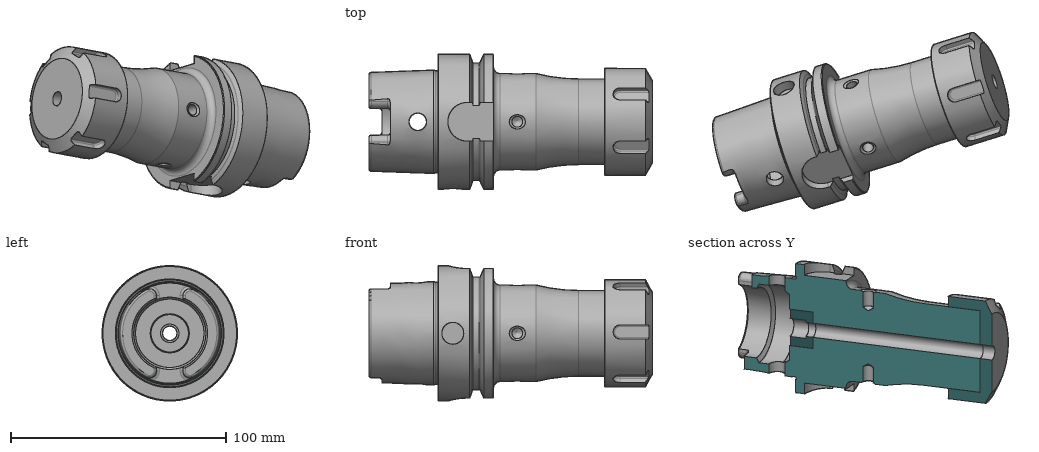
import cadquery as cq
import math


SHANK_LENGTH = 32.0
SHANK_END_RADIUS = 23.0
SHANK_ROOT_RADIUS = 24.1
SHANK_END_FILLET = 1.1
NECK_BEVEL_START_X = -1.9
NECK_START_X = -1.1
NECK_RADIUS = 23.85
NECK_FILLET_START_X = -0.3
FACE_RELIEF_DEPTH = 0.4
FACE_RELIEF_RADIUS = 25.3

BORE_RADIUS = 16.8
BORE_MOUTH_CHAMFER = 0.8
BORE_STRAIGHT_DEPTH = 12.4
UNDERCUT_RADIUS = 19.0
UNDERCUT_CONE_ANGLE = 60.0
UNDERCUT_END_DEPTH = 24.3
BORE_FLOOR_RADIUS = 15.9
BORE_DEPTH = 29.0

DRIVE_SLOT_WIDTH = 12.3
DRIVE_SLOT_TOP_DEPTH = 10.0
DRIVE_SLOT_BOTTOM_DEPTH = 6.0
DRIVE_SLOT_FLOOR_FILLET = 1.3
DRIVE_SLOT_FLARE_RADIUS = 3.2
DRIVE_SLOT_FLARE_START_Z = 17.5

CROSS_HOLE_RADIUS = 4.0
CROSS_HOLE_X = -9.3

FLANGE_RADIUS = 31.5
FLANGE_WIDTH = 26.0
FLANGE_EDGE_CHAMFER = 0.4
GROOVE_START_X = 14.82
GROOVE_STEP_X = 15.8
GROOVE_STEP_RADIUS = 29.2
GROOVE_FLOOR_START_X = 16.35
GROOVE_FLOOR_END_X = 19.5
GROOVE_END_X = 21.4
GROOVE_FLOOR_RADIUS = 27.4
GROOVE_FLOOR_FILLET = 0.5
KEY_SLOT_WIDTH = 18.0
KEY_SLOT_START_X = 4.7
KEY_SLOT_FLOOR_Z = 26.3
CHIP_HOLE_X = 7.0
CHIP_HOLE_RADIUS = 5.1
CHIP_HOLE_FLOOR_Y = 26.6

BODY_RADIUS = 22.5
BODY_FILLET = 3.0
BODY_END_X = 45.7
STEM_RADIUS = 20.0
STEM_START_X = 65.5
STEM_END_X = 94.0
BALANCE_HOLE_X = 37.0
BALANCE_HOLE_RADIUS = 2.5
BALANCE_HOLE_DEPTH = 8.0
BALANCE_SINK_RADIUS = 3.75
BALANCE_SINK_SLOPE = 30.0
DRILL_TIP_ANGLE = 118.0

NUT_START_X = 77.6
NUT_END_X = 99.9
NUT_RADIUS = 25.0
NUT_EDGE_CHAMFER = 0.3
NUT_CONE_START_X = 96.6
NUT_FACE_RADIUS = 19.0
NUT_SLOT_COUNT = 6
NUT_SLOT_WIDTH = 6.5
NUT_SLOT_START_X = 81.6
NUT_SLOT_FLOOR_RADIUS = 22.0
NUT_SLOT_FLOOR_FILLET = 0.65
NUT_SLOT_FIRST_ANGLE = 28.5

PLUG_RADIUS = 8.7
PLUG_SEAT_CHAMFER = 0.4
PLUG_LENGTH = 12.0
PLUG_BORE_RADIUS = 4.3
PLUG_BORE_DEPTH = 8.0
COOLANT_RADIUS = 3.3

BORE_FLOOR_X = BORE_DEPTH - SHANK_LENGTH
OVERSIZE = 1.0


def revolve_about_x(outline):
    return outline.close().revolve(360, (0, 0, 0), (1, 0, 0))


def cylinder_x(start_x, end_x, radius):
    return cq.Workplane("YZ").workplane(offset=start_x).circle(radius).extrude(end_x - start_x)


def turned_blank():
    """Outside of the holder: taper, neck, flange, body, concave blend and stem."""
    blend_run = STEM_START_X - BODY_END_X
    blend_drop = BODY_RADIUS - STEM_RADIUS
    blend_radius = (blend_run**2 + blend_drop**2) / (2 * blend_drop)
    half_run = blend_run / 2
    blend_mid_radius = STEM_RADIUS + blend_radius - math.sqrt(blend_radius**2 - half_run**2)
    neck_fillet = FACE_RELIEF_DEPTH - NECK_FILLET_START_X
    neck_fillet_dip = neck_fillet * (1 - math.sqrt(0.5))
    fillet_dip = BODY_FILLET * (1 - math.sqrt(0.5))
    outline = (
        cq.Workplane("XY")
        .moveTo(-SHANK_LENGTH, 0)
        .lineTo(-SHANK_LENGTH, SHANK_END_RADIUS)
        .lineTo(NECK_BEVEL_START_X, SHANK_ROOT_RADIUS)
        .lineTo(NECK_START_X, NECK_RADIUS)
        .lineTo(NECK_FILLET_START_X, NECK_RADIUS)
        .threePointArc(
            (FACE_RELIEF_DEPTH - neck_fillet_dip, NECK_RADIUS + neck_fillet_dip),
            (FACE_RELIEF_DEPTH, NECK_RADIUS + neck_fillet),
        )
        .lineTo(FACE_RELIEF_DEPTH, FACE_RELIEF_RADIUS - FACE_RELIEF_DEPTH)
        .lineTo(0, FACE_RELIEF_RADIUS)
        .lineTo(0, FLANGE_RADIUS - FLANGE_EDGE_CHAMFER)
        .lineTo(FLANGE_EDGE_CHAMFER, FLANGE_RADIUS)
        .lineTo(FLANGE_WIDTH - FLANGE_EDGE_CHAMFER, FLANGE_RADIUS)
        .lineTo(FLANGE_WIDTH, FLANGE_RADIUS - FLANGE_EDGE_CHAMFER)
        .lineTo(FLANGE_WIDTH, BODY_RADIUS + BODY_FILLET)
        .threePointArc(
            (FLANGE_WIDTH + fillet_dip, BODY_RADIUS + fillet_dip),
            (FLANGE_WIDTH + BODY_FILLET, BODY_RADIUS),
        )
        .lineTo(BODY_END_X, BODY_RADIUS)
        .threePointArc((BODY_END_X + half_run, blend_mid_radius), (STEM_START_X, STEM_RADIUS))
        .lineTo(STEM_END_X, STEM_RADIUS)
        .lineTo(STEM_END_X, 0)
    )
    return revolve_about_x(outline)


def gripper_groove():
    """Ring cut around the flange, with a step in its front wall and a filleted rear floor corner."""
    outline = (
        cq.Workplane("XY")
        .moveTo(GROOVE_START_X, FLANGE_RADIUS + OVERSIZE)
        .lineTo(GROOVE_START_X, FLANGE_RADIUS)
        .lineTo(GROOVE_STEP_X, GROOVE_STEP_RADIUS)
        .lineTo(GROOVE_FLOOR_START_X, GROOVE_FLOOR_RADIUS)
        .lineTo(GROOVE_FLOOR_END_X, GROOVE_FLOOR_RADIUS)
        .lineTo(GROOVE_END_X, FLANGE_RADIUS)
        .lineTo(GROOVE_END_X, FLANGE_RADIUS + OVERSIZE)
    )
    groove = revolve_about_x(outline)
    floor = groove.faces("%CYLINDER").faces(cq.selectors.AreaNthSelector(0))
    return floor.edges(">X").fillet(GROOVE_FLOOR_FILLET)


def shank_bore():
    """Bore with a clamping undercut behind its straight mouth, the plug seat and the coolant hole."""
    undercut_rise = UNDERCUT_RADIUS - BORE_RADIUS
    undercut_run = undercut_rise / math.tan(math.radians(UNDERCUT_CONE_ANGLE))
    undercut_start_x = BORE_STRAIGHT_DEPTH - SHANK_LENGTH
    undercut_end_x = UNDERCUT_END_DEPTH - SHANK_LENGTH
    outline = (
        cq.Workplane("XY")
        .moveTo(-SHANK_LENGTH, 0)
        .lineTo(-SHANK_LENGTH, BORE_RADIUS + BORE_MOUTH_CHAMFER)
        .lineTo(BORE_MOUTH_CHAMFER - SHANK_LENGTH, BORE_RADIUS)
        .lineTo(undercut_start_x, BORE_RADIUS)
        .lineTo(undercut_start_x + undercut_run, UNDERCUT_RADIUS)
        .lineTo(undercut_end_x, UNDERCUT_RADIUS)
        .lineTo(BORE_FLOOR_X, BORE_FLOOR_RADIUS)
        .lineTo(BORE_FLOOR_X, PLUG_RADIUS + PLUG_SEAT_CHAMFER)
        .lineTo(BORE_FLOOR_X + PLUG_SEAT_CHAMFER, PLUG_RADIUS)
        .lineTo(BORE_FLOOR_X + PLUG_LENGTH, PLUG_RADIUS)
        .lineTo(BORE_FLOOR_X + PLUG_LENGTH, COOLANT_RADIUS)
        .lineTo(STEM_END_X, COOLANT_RADIUS)
        .lineTo(STEM_END_X, 0)
    )
    return revolve_about_x(outline)


def drive_slot(depth):
    """Slot across the upper half of the shank mouth; its walls flare out in an arc to the taper."""
    half = DRIVE_SLOT_WIDTH / 2
    flare_z = DRIVE_SLOT_FLARE_START_Z + DRIVE_SLOT_FLARE_RADIUS
    flare_y = half + DRIVE_SLOT_FLARE_RADIUS
    dip = DRIVE_SLOT_FLARE_RADIUS * (1 - math.sqrt(0.5))
    return (
        cq.Workplane("YZ")
        .workplane(offset=-SHANK_LENGTH)
        .moveTo(-half, 0)
        .lineTo(-half, DRIVE_SLOT_FLARE_START_Z)
        .threePointArc((-half - dip, flare_z - dip), (-flare_y, flare_z))
        .lineTo(-FLANGE_RADIUS, flare_z)
        .lineTo(-FLANGE_RADIUS, FLANGE_RADIUS)
        .lineTo(FLANGE_RADIUS, FLANGE_RADIUS)
        .lineTo(FLANGE_RADIUS, flare_z)
        .lineTo(flare_y, flare_z)
        .threePointArc((half + dip, flare_z - dip), (half, DRIVE_SLOT_FLARE_START_Z))
        .lineTo(half, 0)
        .close()
        .extrude(depth)
        .faces(">X")
        .edges("not <Z")
        .edges("not >Z")
        .fillet(DRIVE_SLOT_FLOOR_FILLET)
    )


def key_slot():
    """Slot in the top of the flange, round at its closed end and open toward the nut."""
    half = KEY_SLOT_WIDTH / 2
    center_x = KEY_SLOT_START_X + half
    return (
        cq.Workplane("XY")
        .workplane(offset=KEY_SLOT_FLOOR_Z)
        .moveTo(FLANGE_WIDTH + OVERSIZE, half)
        .lineTo(center_x, half)
        .threePointArc((KEY_SLOT_START_X, 0), (center_x, -half))
        .lineTo(FLANGE_WIDTH + OVERSIZE, -half)
        .close()
        .extrude(FLANGE_RADIUS)
    )


def balance_hole():
    """Blind drilled hole from the top of the body, with a countersunk mouth."""
    tip_depth = BALANCE_HOLE_RADIUS / math.tan(math.radians(DRILL_TIP_ANGLE / 2))
    sink_width = BALANCE_SINK_RADIUS - BALANCE_HOLE_RADIUS
    sink_depth = sink_width * math.tan(math.radians(BALANCE_SINK_SLOPE))
    floor_z = BODY_RADIUS - BALANCE_HOLE_DEPTH
    return (
        cq.Workplane("XZ")
        .moveTo(0, floor_z - tip_depth)
        .lineTo(BALANCE_HOLE_RADIUS, floor_z)
        .lineTo(BALANCE_HOLE_RADIUS, BODY_RADIUS - sink_depth)
        .lineTo(BALANCE_SINK_RADIUS, BODY_RADIUS)
        .lineTo(BALANCE_SINK_RADIUS, BODY_RADIUS + OVERSIZE)
        .lineTo(0, BODY_RADIUS + OVERSIZE)
        .close()
        .revolve(360, (0, 0, 0), (0, 1, 0))
        .translate((BALANCE_HOLE_X, 0, 0))
    )


def make_holder():
    holder = turned_blank().cut(gripper_groove())
    holder = holder.cut(drive_slot(DRIVE_SLOT_TOP_DEPTH))
    holder = holder.cut(drive_slot(DRIVE_SLOT_BOTTOM_DEPTH).rotate((0, 0, 0), (1, 0, 0), 180))
    holder = holder.faces("<X").edges().fillet(SHANK_END_FILLET)
    holder = holder.cut(shank_bore())
    cross_hole = (
        cq.Workplane("XY")
        .center(CROSS_HOLE_X, 0)
        .circle(CROSS_HOLE_RADIUS)
        .extrude(FLANGE_RADIUS, both=True)
    )
    holder = holder.cut(cross_hole)
    for angle in (0, 180):
        holder = holder.cut(key_slot().rotate((0, 0, 0), (1, 0, 0), angle))
    chip_hole = (
        cq.Workplane("XZ")
        .workplane(offset=CHIP_HOLE_FLOOR_Y)
        .center(CHIP_HOLE_X, 0)
        .circle(CHIP_HOLE_RADIUS)
        .extrude(FLANGE_RADIUS)
    )
    holder = holder.cut(chip_hole)
    for angle in (0, 90, 180, 270):
        holder = holder.cut(balance_hole().rotate((0, 0, 0), (1, 0, 0), angle))
    return holder


def nut_slot():
    """Wrench slot in the top of the nut, round at its closed end, with a filleted floor edge."""
    half = NUT_SLOT_WIDTH / 2
    center_x = NUT_SLOT_START_X + half
    open_x = NUT_END_X + NUT_SLOT_WIDTH
    return (
        cq.Workplane("XY")
        .workplane(offset=NUT_SLOT_FLOOR_RADIUS)
        .moveTo(open_x, half)
        .lineTo(center_x, half)
        .threePointArc((NUT_SLOT_START_X, 0), (center_x, -half))
        .lineTo(open_x, -half)
        .close()
        .extrude(NUT_RADIUS)
        .faces("<Z")
        .edges("not >X")
        .fillet(NUT_SLOT_FLOOR_FILLET)
    )


def make_nut():
    outline = (
        cq.Workplane("XY")
        .moveTo(NUT_START_X, 0)
        .lineTo(NUT_START_X, NUT_RADIUS - NUT_EDGE_CHAMFER)
        .lineTo(NUT_START_X + NUT_EDGE_CHAMFER, NUT_RADIUS)
        .lineTo(NUT_CONE_START_X, NUT_RADIUS)
        .lineTo(NUT_END_X, NUT_FACE_RADIUS)
        .lineTo(NUT_END_X, 0)
    )
    nut = revolve_about_x(outline)
    nut = nut.cut(cylinder_x(NUT_START_X, STEM_END_X, STEM_RADIUS))
    nut = nut.cut(cylinder_x(STEM_END_X, NUT_END_X, COOLANT_RADIUS))
    for index in range(NUT_SLOT_COUNT):
        angle = NUT_SLOT_FIRST_ANGLE + index * 360 / NUT_SLOT_COUNT
        nut = nut.cut(nut_slot().rotate((0, 0, 0), (1, 0, 0), angle))
    return nut


def make_plug():
    """Plug seated in the bore floor, with a stepped coolant hole."""
    front_x = BORE_FLOOR_X + PLUG_SEAT_CHAMFER
    plug = cylinder_x(front_x, BORE_FLOOR_X + PLUG_LENGTH, PLUG_RADIUS)
    plug = plug.cut(cylinder_x(front_x, front_x + PLUG_BORE_DEPTH, PLUG_BORE_RADIUS))
    return plug.cut(cylinder_x(front_x, BORE_FLOOR_X + PLUG_LENGTH, COOLANT_RADIUS))


holder = make_holder()
nut = make_nut()
plug = make_plug()
result = cq.Compound.makeCompound([holder.val(), nut.val(), plug.val()])